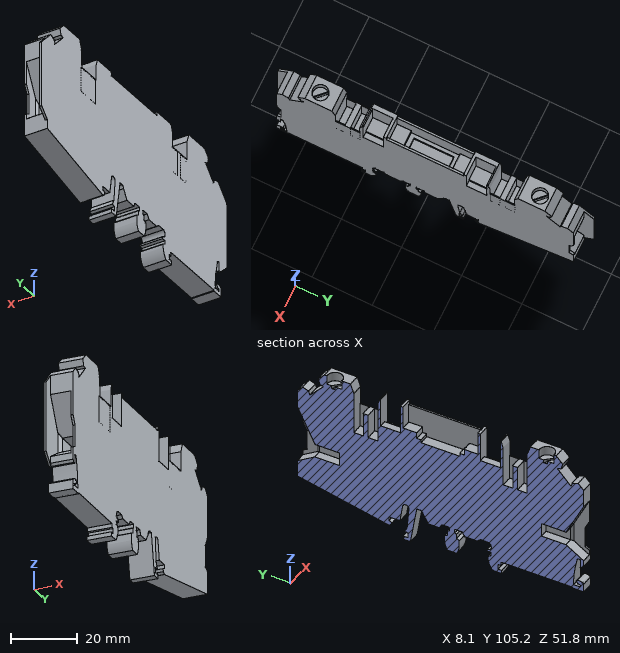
import cadquery as cq

LENGTH = 105.2
WIDTH = 8.1
HEIGHT = 51.8
PLATE_THICKNESS = 0.7
BODY_END = 49.3

END_TOP = 38.9
END_BOTTOM = 16.2
LEDGE_BOTTOM = 12.7
BEVEL_HEIGHT = 0.8
BEVEL_DEPTH = 0.5
CHANNEL_FLOOR = 42.3
CHANNEL_OUTER = 29.8
CHANNEL_INNER = 21.7
MID_TOP = 50.0
RECESS_TOP = 48.6
RECESS_END = 12.8

SCREW_X = 4.4
SCREW_Y = 36.5
SCREW_RADIUS = 2.5
SCREW_DEPTH = 3.2
SLOT_WIDTH = 0.7
SLOT_DEPTH = 1.0
SLOT_ANGLE = -45

JUMPER_WALL = 0.3
JUMPER_LENGTH = 3.2
JUMPER_OUTER_Y = CHANNEL_OUTER - JUMPER_LENGTH / 2
JUMPER_INNER_Y = CHANNEL_INNER + JUMPER_LENGTH / 2
JUMPER_DEPTH = 8.4

MARKER_OUTER = 20.5
MARKER_INNER = 13.8
MARKER_BACK = 1.6
MARKER_STEP = 6.3
MARKER_FLOOR = 40.0
MARKER_STEP_HEIGHT = 1.0

RECESS_WALL = 0.7
RECESS_LEDGE = 42.1
RECESS_FLOOR = 40.0
RECESS_FLOOR_END = 8.1
SUNKEN_START = 1.9
SUNKEN_END = 6.6
SUNKEN_DEPTH = 1.0

FUNNEL_WALL = 0.7
FUNNEL_TOP = 36.1
FUNNEL_BOTTOM = 15.8
FUNNEL_DEPTH = 6.1
FUNNEL_STRAIGHT = 5.3
TUNNEL_START = 1.9
TUNNEL_STOP = 6.7
TUNNEL_TOP = 24.1
TUNNEL_BOTTOM = 19.6
TUNNEL_DEPTH = 8.4
NOTCH_DEPTH = 1.5
NOTCH_OUTER = (17.6, 28.2)
NOTCH_INNER = (18.3, 25.4)


def top_edge():
    """Half of the symmetric top edge, from the +Y end to the central recess."""
    return [
        (LENGTH / 2, END_TOP),
        (47.4, 44.3),
        (45.3, 43.6),
        (44.9, CHANNEL_FLOOR),
        (40.4, 47.0),
        (41.6, 47.3),
        (42.2, 49.4),
        (39.9, HEIGHT),
        (30.9, HEIGHT),
        (CHANNEL_OUTER, RECESS_TOP),
        (CHANNEL_OUTER, CHANNEL_FLOOR),
        (CHANNEL_INNER, CHANNEL_FLOOR),
        (CHANNEL_INNER, 47.7),
        (20.9, MID_TOP),
        (RECESS_END, MID_TOP),
        (RECESS_END, RECESS_TOP),
    ]


def outline():
    """Side outline in the YZ plane."""
    half = top_edge()
    mirrored = [(-y, z) for y, z in reversed(half)]
    return (
        cq.Workplane("YZ")
        .polyline([(LENGTH / 2, END_BOTTOM)] + half + mirrored)
        .lineTo(-LENGTH / 2, END_BOTTOM)
        .lineTo(-49.1, LEDGE_BOTTOM)
        .lineTo(-48.1, LEDGE_BOTTOM)
        .lineTo(-48.1, 15.1)
        .threePointArc((-47.5, 15.7), (-47.1, 15.4))
        .threePointArc((-46.2, 10.4), (-45.9, 5.5))
        .lineTo(-48.1, 5.5)
        .lineTo(-48.1, 6.1)
        .lineTo(-47.2, 6.2)
        .lineTo(-46.6, 6.9)
        .lineTo(-47.1, 7.6)
        .threePointArc((-48.2, 7.7), (-BODY_END, 6.9))
        .lineTo(-BODY_END, 3.9)
        .lineTo(-45.2, 3.9)
        .lineTo(-45.2, 4.2)
        .lineTo(-20.8, 4.2)
        .lineTo(-20.8, 2.9)
        .lineTo(-19.9, 2.9)
        .lineTo(-19.9, 1.4)
        .lineTo(-21.1, 1.4)
        .lineTo(-21.1, 0)
        .lineTo(-17.9, 0)
        .threePointArc((-16.8, 1.7), (-16.3, 3.5))
        .lineTo(-16.3, 4.8)
        .lineTo(-17.3, 5.4)
        .lineTo(-17.4, 6.5)
        .lineTo(-16.0, 6.5)
        .lineTo(-16.0, 7.3)
        .lineTo(-17.0, 7.7)
        .lineTo(-17.4, 8.2)
        .threePointArc((-17.3, 9.3), (-16.5, 10.0))
        .lineTo(-13.8, 10.0)
        .lineTo(-12.7, 9.0)
        .lineTo(-8.3, 9.0)
        .lineTo(-7.3, 10.5)
        .lineTo(-4.9, 10.5)
        .lineTo(-4.9, 9.3)
        .lineTo(-5.6, 9.0)
        .lineTo(-5.6, 7.5)
        .lineTo(-6.5, 6.9)
        .lineTo(-6.5, 4.5)
        .threePointArc((-6.2, 3.0), (-5.6, 1.7))
        .lineTo(-2.3, 1.7)
        .threePointArc((-1.7, 3.0), (-1.4, 4.5))
        .lineTo(-1.4, 6.9)
        .lineTo(-2.3, 7.5)
        .lineTo(-2.3, 9.0)
        .lineTo(-2.9, 9.3)
        .lineTo(-2.9, 10.5)
        .lineTo(-0.4, 10.5)
        .lineTo(0.3, 9.0)
        .lineTo(4.2, 9.0)
        .lineTo(6.1, 12.2)
        .threePointArc((6.4, 12.8), (6.9, 13.2))
        .lineTo(8.1, 13.2)
        .lineTo(10.3, 0)
        .lineTo(12.8, 0)
        .lineTo(12.8, 1.4)
        .lineTo(11.3, 1.4)
        .lineTo(11.3, 2.9)
        .lineTo(12.5, 3.2)
        .lineTo(11.6, 5.0)
        .lineTo(10.9, 12.2)
        .threePointArc((11.8, 13.3), (12.9, 12.6))
        .lineTo(13.9, 6.5)
        .lineTo(17.7, 6.5)
        .lineTo(17.7, 5.4)
        .lineTo(16.6, 4.8)
        .lineTo(16.9, 4.0)
        .lineTo(17.7, 3.4)
        .lineTo(BODY_END, 9.9)
        .lineTo(BODY_END, 13.0)
        .close()
    )


def box(x_range, y_range, z_range):
    """Box between two limits along each axis."""
    size = [high - low for low, high in (x_range, y_range, z_range)]
    corner = (x_range[0], y_range[0], z_range[0])
    return cq.Workplane("XY").box(*size, centered=False).translate(corner)


def screw_shaft(y):
    """Round shaft whose floor is a slotted screw head."""
    floor = HEIGHT - SCREW_DEPTH
    shaft = cq.Workplane("XY").circle(SCREW_RADIUS).extrude(SCREW_DEPTH)
    slot = (
        cq.Workplane("XY")
        .rect(2 * SCREW_RADIUS, SLOT_WIDTH)
        .extrude(-SLOT_DEPTH)
        .rotate((0, 0, 0), (0, 0, 1), SLOT_ANGLE)
    )
    head = cq.Workplane("XY").circle(SCREW_RADIUS).extrude(-SLOT_DEPTH)
    return shaft.union(slot.intersect(head)).translate((SCREW_X, y, floor))


def jumper_pocket(y):
    """Rectangular pocket sunk into a channel floor."""
    return box(
        (JUMPER_WALL, WIDTH - JUMPER_WALL),
        (y - JUMPER_LENGTH / 2, y + JUMPER_LENGTH / 2),
        (CHANNEL_FLOOR - JUMPER_DEPTH, CHANNEL_FLOOR),
    )


def marker_pocket():
    """Stepped pocket of the +Y half, open at the top and on the +X side."""
    y_range = (MARKER_INNER, MARKER_OUTER)
    upper = box((MARKER_BACK, WIDTH), y_range, (MARKER_FLOOR, MID_TOP))
    lower = box(
        (MARKER_STEP, WIDTH), y_range, (MARKER_FLOOR - MARKER_STEP_HEIGHT, MARKER_FLOOR)
    )
    return upper.union(lower)


def central_recess():
    """Trough between the marker pockets."""
    x_range = (RECESS_WALL, WIDTH - RECESS_WALL)
    upper = box(x_range, (-RECESS_END, RECESS_END), (RECESS_LEDGE, MID_TOP))
    lower = box(x_range, (-RECESS_FLOOR_END, RECESS_FLOOR_END), (RECESS_FLOOR, RECESS_LEDGE))
    sunken = box(
        (SUNKEN_START, WIDTH - RECESS_WALL),
        (-SUNKEN_END, SUNKEN_END),
        (RECESS_FLOOR - SUNKEN_DEPTH, RECESS_FLOOR),
    )
    return upper.union(lower).union(sunken)


def wire_funnel():
    """Wire entry of the -Y end: sloped funnel, tunnel behind it and a notch in the +X wall."""
    root = FUNNEL_DEPTH - BODY_END
    taper_start = FUNNEL_STRAIGHT - BODY_END
    mouth_stop = WIDTH - FUNNEL_WALL
    side_shape = (
        cq.Workplane("YZ")
        .moveTo(-BODY_END, FUNNEL_BOTTOM)
        .lineTo(root, TUNNEL_BOTTOM)
        .lineTo(root, TUNNEL_TOP)
        .lineTo(-BODY_END, FUNNEL_TOP)
        .close()
        .extrude(WIDTH)
    )
    plan_shape = (
        cq.Workplane("XY")
        .moveTo(PLATE_THICKNESS, -BODY_END)
        .lineTo(PLATE_THICKNESS, taper_start)
        .lineTo(TUNNEL_START, root)
        .lineTo(TUNNEL_STOP, root)
        .lineTo(mouth_stop, taper_start)
        .lineTo(mouth_stop, -BODY_END)
        .close()
        .extrude(HEIGHT)
    )
    funnel = side_shape.intersect(plan_shape)
    tunnel = box(
        (TUNNEL_START, TUNNEL_STOP), (root, root + TUNNEL_DEPTH), (TUNNEL_BOTTOM, TUNNEL_TOP)
    )
    notch = (
        cq.Workplane("YZ", origin=(mouth_stop, 0, 0))
        .moveTo(-BODY_END, NOTCH_OUTER[0])
        .lineTo(NOTCH_DEPTH - BODY_END, NOTCH_INNER[0])
        .lineTo(NOTCH_DEPTH - BODY_END, NOTCH_INNER[1])
        .lineTo(-BODY_END, NOTCH_OUTER[1])
        .close()
        .extrude(FUNNEL_WALL)
    )
    return funnel.union(tunnel).union(notch)


def lower_bevel():
    """Bevel under the -Y end of the body, behind the plate."""
    return (
        cq.Workplane("YZ", origin=(PLATE_THICKNESS, 0, 0))
        .moveTo(-BODY_END, LEDGE_BOTTOM)
        .lineTo(BEVEL_DEPTH - BODY_END, LEDGE_BOTTOM)
        .lineTo(-BODY_END, LEDGE_BOTTOM + BEVEL_HEIGHT)
        .close()
        .extrude(WIDTH - PLATE_THICKNESS)
    )


def both_ends(cutter):
    """A cutter together with its mirror image at the other end."""
    return cutter.union(cutter.mirror("XZ"))


body_limits = box((PLATE_THICKNESS, WIDTH), (-BODY_END, BODY_END), (0, HEIGHT))
plate = outline().extrude(PLATE_THICKNESS)
body = outline().extrude(WIDTH).intersect(body_limits).cut(lower_bevel())
result = plate.union(body)

for side in (-1, 1):
    result = result.cut(screw_shaft(side * SCREW_Y))
    for station in (JUMPER_OUTER_Y, JUMPER_INNER_Y):
        result = result.cut(jumper_pocket(side * station))

result = result.cut(both_ends(marker_pocket()))
result = result.cut(central_recess())
result = result.cut(both_ends(wire_funnel()))